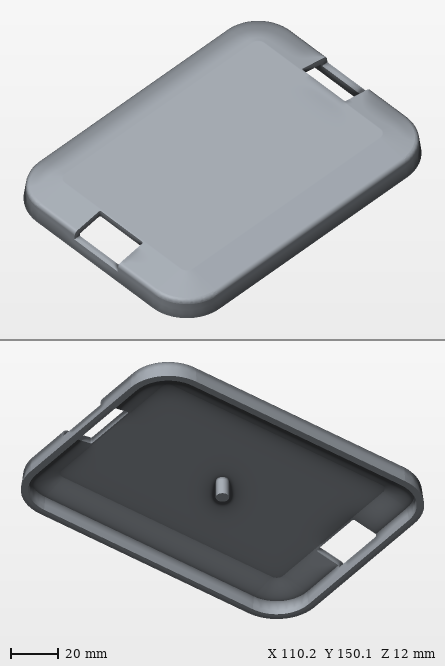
import cadquery as cq
import math

overall_length = 150.1
overall_width = 110.2
height = 12.0
turn = 0.1
corner_radius = 20.0
wall_draft = 7.0
shoulder_height = 9.2
panel_inset = 16.4
edge_radius = 2.3
thickness = 3.2

slot_width = 26.1
slot_floor = 5.3
slot_gap = 0.6
slot_corner_radius = 0.8

post_diameter = 5.7

turn_slope = math.tan(math.radians(turn))
length = overall_length - (overall_width - 2 * corner_radius) * turn_slope
width = overall_width - (overall_length - 2 * corner_radius) * turn_slope

draft_slope = math.tan(math.radians(wall_draft))
shoulder_inset = shoulder_height * draft_slope
rim_rise = height - shoulder_height
rim_taper = math.degrees(math.atan2(panel_inset - shoulder_inset, rim_rise))


def tapered_block(inset, bottom, rise, taper):
    """Rounded block, inset evenly from the base outline, narrowing upward."""
    outline = (
        cq.Sketch()
        .rect(width - 2 * inset, length - 2 * inset)
        .vertices()
        .fillet(corner_radius - inset)
    )
    return (
        cq.Workplane("XY", origin=(0, 0, bottom))
        .placeSketch(outline)
        .extrude(rise, taper=taper)
    )


def hollow_shell():
    """Drafted side wall under a sloped rim, open at the bottom."""
    side = tapered_block(0, 0, shoulder_height, wall_draft)
    rim = tapered_block(shoulder_inset, shoulder_height, rim_rise, rim_taper)
    blank = side.union(rim)
    shoulder_and_panel = blank.faces("not <Z").edges("#Z").edges("not <Z")
    solid = shoulder_and_panel.fillet(edge_radius)
    return solid.faces("<Z").shell(-thickness)


def slot_cutter(end):
    """Cutter for the slot at one end (+1 or -1), open through the end wall."""
    inner_end = length / 2 - panel_inset + slot_gap
    middle = end * (inner_end + length / 2) / 2
    inner_side = "<Y" if end > 0 else ">Y"
    return (
        cq.Workplane("XY", origin=(0, middle, slot_floor))
        .rect(slot_width, length / 2 - inner_end)
        .extrude(height - slot_floor)
        .faces(inner_side)
        .edges("|Z")
        .fillet(slot_corner_radius)
    )


result = hollow_shell()
for end in (-1, 1):
    result = result.cut(slot_cutter(end))

post = cq.Workplane("XY").circle(post_diameter / 2).extrude(height - thickness / 2)
result = result.union(post)

result = result.rotate((0, 0, 0), (0, 0, 1), turn)